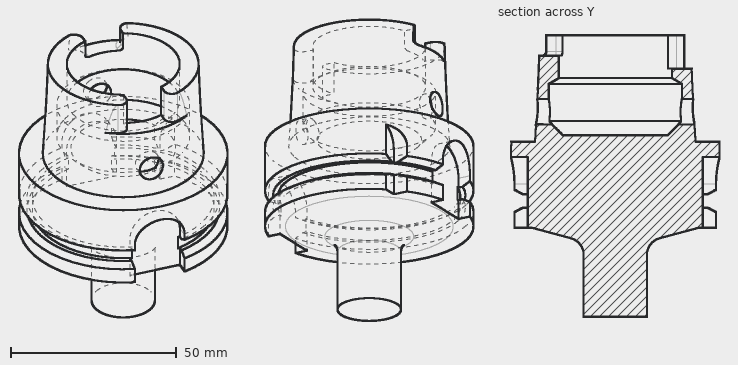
import cadquery as cq
import math

TOTAL_HEIGHT = 84.9
FLANGE_BOTTOM = 26.8
FLANGE_TOP = 52.8
GROOVE_BOTTOM = 32.9
GROOVE_TOP = 36.9
PIN_FILLET_START = 18.7

PIN_RADIUS = 19.2 / 2
FLANGE_RADIUS = 62.9 / 2
GROOVE_RADIUS = 27.4
GROOVE_CHAMFER_HEIGHT = 1.4
GROOVE_CHAMFER_WIDTH = 2.5
NECK_CONE_RADIUS = 25.3
NECK_CONE_ANGLE = math.radians(15)

TAPER_TOP_RADIUS = 22.75
TAPER_MIDDLE_RADIUS = 23.35
TAPER_BASE_RADIUS = 24.3

BORE_RADIUS = 34.05 / 2
BORE_BOTTOM = 71.9
UNDERCUT_RADIUS = 40.1 / 2
UNDERCUT_BOTTOM = 59.0
SHOULDER_ANGLE = math.radians(60)
CAVITY_FLOOR_RADIUS = 15.8

CROSS_HOLE_DIAMETER = 7.5
CROSS_HOLE_HEIGHT = 61.8

DRIVE_SLOT_HALF_WIDTH = 6.1
LEFT_SLOT_DEPTH = 6.2
LEFT_HORN_RADIUS = 3.0
LEFT_ARC_END_X = 20.8
LEFT_FLOOR_FILLET = 1.3
RIGHT_SLOT_DEPTH = 10.1
RIGHT_HORN_RADIUS = 2.5
DRIVE_SLOT_INNER_X = 6.8
HORN_RELIEF_LENGTH = 10.2

FLANGE_SLOT_RADIUS = 8.1
FLANGE_SLOT_TOP = 48.05
FLANGE_SLOT_FLOOR_X = 26.4
NOTCH_FLOOR_X = 19.95
NOTCH_INNER_Y = 19.6
NOTCH_RADIUS = 6.6

CLEARANCE = 8.5


def make_body():
    """Revolve the pin, neck, grooved flange and tapered shank."""
    cone_drop = (NECK_CONE_RADIUS - PIN_RADIUS) * math.tan(NECK_CONE_ANGLE)
    corner_z = FLANGE_BOTTOM - cone_drop
    tangent_length = corner_z - PIN_FILLET_START
    turn = math.pi / 2 - NECK_CONE_ANGLE
    fillet_radius = tangent_length / math.tan(turn / 2)
    center_x = PIN_RADIUS + fillet_radius
    fillet_middle = (
        center_x - fillet_radius * math.cos(turn / 2),
        PIN_FILLET_START + fillet_radius * math.sin(turn / 2),
    )
    fillet_end = (
        PIN_RADIUS + tangent_length * math.cos(NECK_CONE_ANGLE),
        corner_z + tangent_length * math.sin(NECK_CONE_ANGLE),
    )
    chamfer_radius = FLANGE_RADIUS - GROOVE_CHAMFER_WIDTH
    return (
        cq.Workplane("XZ")
        .lineTo(PIN_RADIUS, 0)
        .lineTo(PIN_RADIUS, PIN_FILLET_START)
        .threePointArc(fillet_middle, fillet_end)
        .lineTo(NECK_CONE_RADIUS, FLANGE_BOTTOM)
        .lineTo(FLANGE_RADIUS, FLANGE_BOTTOM)
        .lineTo(FLANGE_RADIUS, GROOVE_BOTTOM - GROOVE_CHAMFER_HEIGHT)
        .lineTo(chamfer_radius, GROOVE_BOTTOM)
        .lineTo(GROOVE_RADIUS, GROOVE_BOTTOM)
        .lineTo(GROOVE_RADIUS, GROOVE_TOP)
        .lineTo(chamfer_radius, GROOVE_TOP)
        .lineTo(FLANGE_RADIUS, GROOVE_TOP + GROOVE_CHAMFER_HEIGHT)
        .lineTo(FLANGE_RADIUS, FLANGE_TOP)
        .lineTo(TAPER_BASE_RADIUS, FLANGE_TOP)
        .threePointArc(
            (TAPER_MIDDLE_RADIUS, (FLANGE_TOP + TOTAL_HEIGHT) / 2),
            (TAPER_TOP_RADIUS, TOTAL_HEIGHT),
        )
        .lineTo(0, TOTAL_HEIGHT)
        .close()
        .revolve(360, (0, 0, 0), (0, 1, 0))
    )


def make_cavity():
    """Revolve the bore, its undercut and the 45 degree cone down to the floor."""
    shoulder_height = (UNDERCUT_RADIUS - BORE_RADIUS) / math.tan(SHOULDER_ANGLE)
    floor_z = UNDERCUT_BOTTOM - (UNDERCUT_RADIUS - CAVITY_FLOOR_RADIUS)
    return (
        cq.Workplane("XZ")
        .moveTo(0, floor_z)
        .lineTo(CAVITY_FLOOR_RADIUS, floor_z)
        .lineTo(UNDERCUT_RADIUS, UNDERCUT_BOTTOM)
        .lineTo(UNDERCUT_RADIUS, BORE_BOTTOM - shoulder_height)
        .lineTo(BORE_RADIUS, BORE_BOTTOM)
        .lineTo(BORE_RADIUS, TOTAL_HEIGHT)
        .lineTo(0, TOTAL_HEIGHT)
        .close()
        .revolve(360, (0, 0, 0), (0, 1, 0))
    )


def make_drive_slot(depth, horn_radius, arc_center_x, exit_angle):
    """Make a +X slot cutter that rounds the horns beside it.

    Each horn arc ends where its outward normal is exit_angle from +X and
    continues along the tangent there.
    """
    arc_center_y = DRIVE_SLOT_HALF_WIDTH + horn_radius

    def on_arc(angle):
        return (
            arc_center_x + horn_radius * math.cos(angle),
            arc_center_y + horn_radius * math.sin(angle),
        )

    arc_start_angle = -math.pi / 2
    arc_start = on_arc(arc_start_angle)
    arc_middle = on_arc((arc_start_angle + exit_angle) / 2)
    arc_end = on_arc(exit_angle)
    relief_end = (
        arc_end[0] - HORN_RELIEF_LENGTH * math.sin(exit_angle),
        arc_end[1] + HORN_RELIEF_LENGTH * math.cos(exit_angle),
    )
    outer_x = FLANGE_RADIUS

    def mirrored(point):
        return (point[0], -point[1])

    return (
        cq.Workplane("XY", origin=(0, 0, TOTAL_HEIGHT - depth))
        .moveTo(DRIVE_SLOT_INNER_X, DRIVE_SLOT_HALF_WIDTH)
        .lineTo(*arc_start)
        .threePointArc(arc_middle, arc_end)
        .lineTo(*relief_end)
        .lineTo(outer_x, relief_end[1])
        .lineTo(outer_x, -relief_end[1])
        .lineTo(*mirrored(relief_end))
        .lineTo(*mirrored(arc_end))
        .threePointArc(mirrored(arc_middle), mirrored(arc_start))
        .lineTo(DRIVE_SLOT_INNER_X, -DRIVE_SLOT_HALF_WIDTH)
        .close()
        .extrude(depth + CLEARANCE)
    )


def make_left_drive_slot():
    """Shallow -X slot with straight reliefs and filleted floor edges."""
    arc_center_x = LEFT_ARC_END_X - LEFT_HORN_RADIUS
    slot = make_drive_slot(LEFT_SLOT_DEPTH, LEFT_HORN_RADIUS, arc_center_x, 0)
    return slot.faces("<Z").edges().fillet(LEFT_FLOOR_FILLET).rotate((0, 0, 0), (0, 0, 1), 180)


def make_right_drive_slot():
    """Deep +X slot whose horn arcs are tangent to the top rim."""
    arc_center_y = DRIVE_SLOT_HALF_WIDTH + RIGHT_HORN_RADIUS
    arc_center_x = math.sqrt((TAPER_TOP_RADIUS - RIGHT_HORN_RADIUS) ** 2 - arc_center_y**2)
    exit_angle = math.atan2(arc_center_y, arc_center_x)
    return make_drive_slot(RIGHT_SLOT_DEPTH, RIGHT_HORN_RADIUS, arc_center_x, exit_angle)


def make_flange_slot(radius, floor_x, center_y, side):
    """Make a round-topped cutter, open downward and outward along side * X."""
    center_z = FLANGE_SLOT_TOP - radius
    return (
        cq.Workplane("YZ", origin=(side * floor_x, 0, 0))
        .moveTo(center_y - radius, FLANGE_BOTTOM)
        .lineTo(center_y - radius, center_z)
        .threePointArc((center_y, FLANGE_SLOT_TOP), (center_y + radius, center_z))
        .lineTo(center_y + radius, FLANGE_BOTTOM)
        .close()
        .extrude(side * (FLANGE_RADIUS - floor_x + CLEARANCE))
    )


result = make_body().cut(make_cavity())
result = result.cut(make_left_drive_slot()).cut(make_right_drive_slot())

cross_hole = (
    cq.Workplane("YZ", origin=(0, 0, CROSS_HOLE_HEIGHT))
    .circle(CROSS_HOLE_DIAMETER / 2)
    .extrude(FLANGE_RADIUS, both=True)
)
result = result.cut(cross_hole)

for slot_side in (-1, 1):
    result = result.cut(make_flange_slot(FLANGE_SLOT_RADIUS, FLANGE_SLOT_FLOOR_X, 0, slot_side))
notch_center_y = NOTCH_INNER_Y + NOTCH_RADIUS
result = result.cut(make_flange_slot(NOTCH_RADIUS, NOTCH_FLOOR_X, notch_center_y, -1))